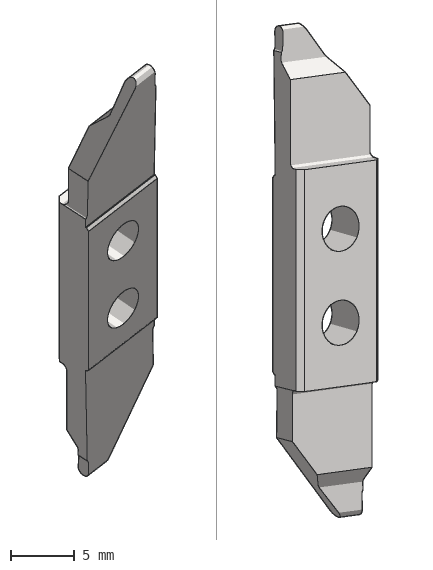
import cadquery as cq
import math

thickness = 3.6
width = 8.0
length = 40.0
half_width = width / 2
half_length = length / 2

front_x = -thickness / 2
back_x = thickness / 2
body_half_length = 8.9
body_chamfer = 0.5
pad_half_length = 7.75
pad_bevel = 0.25
hole_diameter = 3.6
hole_spacing = 7.5

blade_front_x = -0.55
blade_root_back_x = back_x - 0.3
shoulder_z = 15.95
neck_root_x = 0.7
neck_fillet = 0.5
root_fillet = 0.5
tip_radius = 0.55
tip_back_x = 1.7
tip_center_x = tip_back_x - tip_radius
tip_center_z = half_length - tip_radius
neck_root_z = shoulder_z + neck_root_x - blade_front_x

blade_side_relief = 0.2
tip_side_relief = 0.1
tip_relief_z = 17.95
relief_radius = root_fillet
cut_start_z = 13.05
cut_tip_y = 1.95


def arc_run(depth):
    """Length of a relief arc that leaves the side at depth and ends tangent to it."""
    return math.sqrt(relief_radius**2 - (relief_radius - depth) ** 2)


def arc_sag(depth):
    """Depth still to be reached by the relief arc halfway along its length."""
    return relief_radius - math.sqrt(relief_radius**2 - (arc_run(depth) / 2) ** 2)


def turn_half(solid):
    """Copy of a solid turned half a revolution about the X axis."""
    return solid.rotate((0, 0, 0), (1, 0, 0), 180)


def make_body():
    body = (
        cq.Workplane("XY")
        .box(thickness, width, 2 * body_half_length)
        .faces("<X")
        .edges("|Z")
        .chamfer(body_chamfer)
    )
    end_cut = (
        cq.Workplane("XZ")
        .moveTo(back_x, pad_half_length)
        .lineTo(back_x - pad_bevel, pad_half_length + pad_bevel)
        .lineTo(blade_root_back_x, pad_half_length + pad_bevel)
        .lineTo(blade_root_back_x, body_half_length)
        .lineTo(back_x, body_half_length)
        .close()
        .extrude(half_width, both=True)
    )
    return body.cut(end_cut).cut(turn_half(end_cut))


def make_blade_profile():
    """Blade thickness profile, swept across the full width."""
    fillet_mid = root_fillet * (1 - math.sqrt(0.5))
    profile = (
        cq.Workplane("XZ")
        .moveTo(blade_root_back_x, body_half_length)
        .lineTo(tip_back_x, tip_center_z)
        .threePointArc((tip_center_x, half_length), (tip_center_x - tip_radius, tip_center_z))
        .lineTo(neck_root_x, neck_root_z)
        .lineTo(blade_front_x, shoulder_z)
        .lineTo(blade_front_x, body_half_length + root_fillet)
        .threePointArc(
            (blade_front_x - fillet_mid, body_half_length + fillet_mid),
            (blade_front_x - root_fillet, body_half_length),
        )
        .close()
        .extrude(half_width, both=True)
    )
    neck_corner = cq.selectors.NearestToPointSelector((neck_root_x, 0, neck_root_z))
    return profile.edges("|Y").edges(neck_corner).fillet(neck_fillet)


def make_blade_outline():
    """Pointed side outline of the blade, extruded through its thickness."""
    root_y = -half_width + blade_side_relief
    root_run = arc_run(blade_side_relief)
    tip_y = half_width - tip_side_relief
    tip_run = arc_run(tip_side_relief)
    return (
        cq.Workplane("YZ")
        .moveTo(-half_width, body_half_length)
        .threePointArc(
            (root_y - arc_sag(blade_side_relief), body_half_length + root_run / 2),
            (root_y, body_half_length + root_run),
        )
        .lineTo(root_y, cut_start_z)
        .lineTo(cut_tip_y, half_length)
        .lineTo(tip_y, half_length)
        .lineTo(tip_y, tip_relief_z + tip_run)
        .threePointArc(
            (tip_y + arc_sag(tip_side_relief), tip_relief_z + tip_run / 2),
            (half_width, tip_relief_z),
        )
        .lineTo(half_width, body_half_length)
        .close()
        .extrude(thickness, both=True)
    )


blade = make_blade_profile().intersect(make_blade_outline())

holes = (
    cq.Workplane("YZ")
    .rarray(0.4, hole_spacing, 1, 2)
    .circle(hole_diameter / 2)
    .extrude(thickness, both=True)
)

result = make_body().union(blade).union(turn_half(blade)).cut(holes)